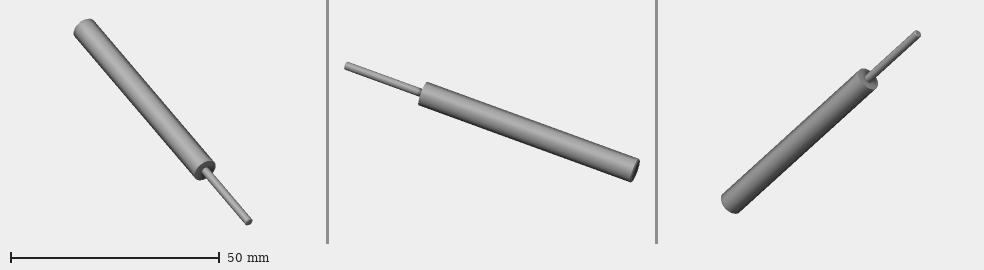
import cadquery as cq

total_length = 75.0
body_length = 55.0
body_diameter = 6.0
rod_diameter = 2.0
tip_length = 3.15

body_chamfer = 0.25
tip_chamfer = 0.2

rod_length = total_length - body_length - tip_length


def cylinder_along_x(start_x, length, diameter):
    """Solid cylinder centred on the X axis."""
    return cq.Workplane("YZ").workplane(offset=start_x).circle(diameter / 2).extrude(length)


body = cylinder_along_x(0, body_length, body_diameter).faces("<X").chamfer(body_chamfer)

rod = cylinder_along_x(body_length, rod_length, rod_diameter)
tip = cylinder_along_x(body_length + rod_length, tip_length, rod_diameter)
tip = tip.faces(">X").chamfer(tip_chamfer)

result = body.union(rod, clean=False).union(tip, clean=False)
result = result.translate((-total_length / 2, 0, 0))